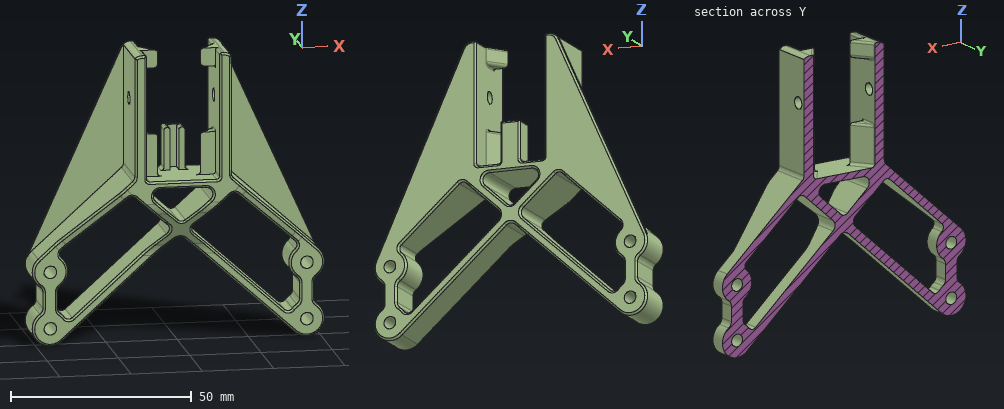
import cadquery as cq
import math

DEPTH = 20.0
HEIGHT = 83.0
EDGE_CHAMFER = 0.6
LEG_DEPTH = 12.5
WEB_THICKNESS = 1.5

BOSS_X = 36.0
BOSS_RADIUS = 5.0
LOWER_BOSS_Z = BOSS_RADIUS
UPPER_BOSS_Z = LOWER_BOSS_Z + 16.0
SCREW_DIAMETER = 3.5
NECK_WIDTH = 4.0
NECK_FILLET = 2.0

SLOT_HALF_WIDTH = 10.25
WALL_OUTER_X = 13.55
FLOOR_Z = 47.15
FLOOR_THICKNESS = 2.15
SLOT_FILLET = 0.85
TOP_INNER_FILLET = 0.65
TOP_OUTER_FILLET = 3.0
TOP_FLAT_X = 11.5
WALL_HOLE_Z = 69.0

ARM_ANGLE = 42.0
ARM_WIDTH = 2.65
BAR_WIDTH = 2.9
CELL_FILLET = 1.5
JOINT_FILLET = 2.0
WEB_CORNER_FILLET = 1.75

BAR_RAMP_FILLET = 6.0
ARM_RAMP_FILLET = 8.0
BAR_RAMP_TOP_Z = 39.2
BAR_RAMP_LENGTH = 12.9
ARM_RAMP_START_X = 16.2
ARM_RAMP_LENGTH = 22.8

HOOK_FRONT_Y = 7.0
HOOK_BACK_Y = 12.7
HOOK_TIP_X = 6.0
HOOK_TIP_FILLET = 1.0
UPPER_HOOK_BOTTOM_Z = 77.85
POST_TOP_Z = 59.2
HOOK_WALL_FILLET = 0.5

POST_HALF_WIDTH = 2.95
POST_DEPTH = 6.0
FORK_HALF_GAP = 1.25
FORK_BACK_THICKNESS = 2.0
PRONG_FILLET = 0.65

SLOPE = math.tan(math.radians(ARM_ANGLE))
SLOPE_COS = math.cos(math.radians(ARM_ANGLE))
SLOPE_SIN = math.sin(math.radians(ARM_ANGLE))
BOSS_RISE = BOSS_RADIUS / SLOPE_COS
ARM_OUTER_Z = UPPER_BOSS_Z + BOSS_RISE + SLOPE * BOSS_X
ARM_INNER_Z = ARM_OUTER_Z - ARM_WIDTH / SLOPE_COS
BAR_LOWER_Z = LOWER_BOSS_Z - BOSS_RISE + SLOPE * BOSS_X
BAR_UPPER_Z = BAR_LOWER_Z + BAR_WIDTH / SLOPE_COS
OVERSIZE = 50.0


def prism(outline, y_front, y_back):
    """Solid between two Y planes from a closed list of (x, z) points."""
    plane = cq.Workplane("XZ", origin=(0, y_back, 0))
    return plane.polyline(outline).close().extrude(y_back - y_front)


def cylinder(x, z, radius):
    return cq.Workplane("XZ", origin=(x, DEPTH, z)).circle(radius).extrude(DEPTH)


def both_sides(half):
    return half.union(half.mirror("YZ"))


def round_corner(body, x, z, radius):
    """Fillet the edge parallel to Y that passes through (x, z)."""
    tolerance = 0.05
    box = cq.selectors.BoxSelector(
        (x - tolerance, -OVERSIZE, z - tolerance), (x + tolerance, OVERSIZE, z + tolerance)
    )
    return body.edges("|Y").edges(box).fillet(radius)


def outer_tangent(first, first_radius, second, second_radius):
    """Ends of the common tangent on the +X side, from the upper circle to the lower one."""
    dx = second[0] - first[0]
    dz = second[1] - first[1]
    distance = math.hypot(dx, dz)
    normal = math.atan2(dz, dx) + math.acos((first_radius - second_radius) / distance)
    across = (math.cos(normal), math.sin(normal))
    return [
        (center[0] + radius * across[0], center[1] + radius * across[1])
        for center, radius in ((first, first_radius), (second, second_radius))
    ]


def silhouette():
    """Outer outline at full depth, without any openings."""
    corner = (TOP_FLAT_X, HEIGHT - TOP_OUTER_FILLET)
    upper_boss = (BOSS_X, UPPER_BOSS_Z)
    web_top, web_bottom = outer_tangent(corner, TOP_OUTER_FILLET, upper_boss, BOSS_RADIUS)
    bar_tangent = (BOSS_X - BOSS_RADIUS * SLOPE_SIN, LOWER_BOSS_Z - BOSS_RADIUS * SLOPE_COS)
    half = (
        cq.Workplane("XZ", origin=(0, DEPTH, 0))
        .moveTo(0, BAR_LOWER_Z)
        .lineTo(0, HEIGHT)
        .lineTo(TOP_FLAT_X, HEIGHT)
        .tangentArcPoint(web_top, relative=False)
        .lineTo(*web_bottom)
        .tangentArcPoint((BOSS_X + BOSS_RADIUS, UPPER_BOSS_Z), relative=False)
        .lineTo(BOSS_X + BOSS_RADIUS, LOWER_BOSS_Z)
        .tangentArcPoint(bar_tangent, relative=False)
        .close()
        .extrude(DEPTH)
    )
    return round_corner(both_sides(half), 0, BAR_LOWER_Z, JOINT_FILLET)


def slot_opening():
    outline = [
        (-SLOT_HALF_WIDTH, FLOOR_Z),
        (SLOT_HALF_WIDTH, FLOOR_Z),
        (SLOT_HALF_WIDTH, HEIGHT + OVERSIZE),
        (-SLOT_HALF_WIDTH, HEIGHT + OVERSIZE),
    ]
    return prism(outline, 0, DEPTH).edges("|Y and <Z").fillet(SLOT_FILLET)


def triangle_opening():
    """Opening between the slot floor and the upper halves of the crossing bars."""
    top_z = FLOOR_Z - FLOOR_THICKNESS
    top_x = (top_z - BAR_UPPER_Z) / SLOPE
    opening = prism([(-top_x, top_z), (top_x, top_z), (0, BAR_UPPER_Z)], 0, DEPTH)
    opening = opening.edges("|Y and >Z").fillet(JOINT_FILLET)
    return round_corner(opening, 0, BAR_UPPER_Z, CELL_FILLET)


def leg_opening():
    """Opening enclosed by an arm, the crossing bars and the bosses (+X side)."""
    neck_x = BOSS_X - NECK_WIDTH / 2
    apex_x = (ARM_INNER_Z - BAR_LOWER_Z) / (2 * SLOPE)
    apex_z = (ARM_INNER_Z + BAR_LOWER_Z) / 2
    crossing_x = (BAR_UPPER_Z - BAR_LOWER_Z) / (2 * SLOPE)
    crossing_z = (BAR_UPPER_Z + BAR_LOWER_Z) / 2
    opening = prism(
        [
            (apex_x, apex_z),
            (BOSS_X, ARM_INNER_Z - SLOPE * BOSS_X),
            (BOSS_X, BAR_UPPER_Z - SLOPE * BOSS_X),
            (crossing_x, crossing_z),
        ],
        0,
        DEPTH,
    )
    opening = round_corner(opening, apex_x, apex_z, CELL_FILLET)
    opening = round_corner(opening, crossing_x, crossing_z, JOINT_FILLET)
    for boss_z in (UPPER_BOSS_Z, LOWER_BOSS_Z):
        opening = opening.cut(cylinder(BOSS_X, boss_z, BOSS_RADIUS))
    neck = [(neck_x, LOWER_BOSS_Z), (BOSS_X, LOWER_BOSS_Z), (BOSS_X, UPPER_BOSS_Z), (neck_x, UPPER_BOSS_Z)]
    opening = opening.cut(prism(neck, 0, DEPTH))
    solids = opening.solids().vals()
    opening = cq.Workplane(max(solids, key=lambda solid: solid.Volume()))
    reach = math.sqrt(BOSS_RADIUS**2 - (NECK_WIDTH / 2) ** 2)
    for z in (UPPER_BOSS_Z - reach, LOWER_BOSS_Z + reach):
        opening = round_corner(opening, neck_x, z, NECK_FILLET)
    for boss_z, intercept in ((UPPER_BOSS_Z, ARM_INNER_Z), (LOWER_BOSS_Z, BAR_UPPER_Z)):
        x, z = boss_meets_diagonal(boss_z, intercept)
        opening = round_corner(opening, x, z, CELL_FILLET)
    return opening


def boss_meets_diagonal(boss_z, intercept):
    """Inboard point where the edge z = intercept - SLOPE * x enters a boss."""
    offset = (intercept - SLOPE * BOSS_X - boss_z) * SLOPE_COS
    along = math.sqrt(BOSS_RADIUS**2 - offset**2)
    x = BOSS_X + offset * SLOPE_SIN - along * SLOPE_COS
    return x, intercept - SLOPE * x


def neck_notch():
    """Recess between the two bosses on the outer flank (+X side)."""
    neck_x = BOSS_X + NECK_WIDTH / 2
    outer_x = BOSS_X + BOSS_RADIUS + OVERSIZE
    notch = prism(
        [(neck_x, LOWER_BOSS_Z), (outer_x, LOWER_BOSS_Z), (outer_x, UPPER_BOSS_Z), (neck_x, UPPER_BOSS_Z)],
        0,
        DEPTH,
    )
    for boss_z in (UPPER_BOSS_Z, LOWER_BOSS_Z):
        notch = notch.cut(cylinder(BOSS_X, boss_z, BOSS_RADIUS))
    reach = math.sqrt(BOSS_RADIUS**2 - (NECK_WIDTH / 2) ** 2)
    for z in (UPPER_BOSS_Z - reach, LOWER_BOSS_Z + reach):
        notch = round_corner(notch, neck_x, z, NECK_FILLET)
    return notch


def web_region():
    """Full-depth region between a wall and its arm (+X side)."""
    corner_z = ARM_OUTER_Z - SLOPE * WALL_OUTER_X
    far_x = BOSS_X + OVERSIZE
    region = prism(
        [
            (WALL_OUTER_X, HEIGHT),
            (WALL_OUTER_X, corner_z),
            (BOSS_X + BOSS_RADIUS * SLOPE_SIN, UPPER_BOSS_Z + BOSS_RADIUS * SLOPE_COS),
            (BOSS_X, UPPER_BOSS_Z),
            (far_x, UPPER_BOSS_Z),
            (far_x, HEIGHT),
        ],
        0,
        DEPTH,
    )
    region = region.cut(cylinder(BOSS_X, UPPER_BOSS_Z, BOSS_RADIUS))
    return round_corner(region, WALL_OUTER_X, corner_z, WEB_CORNER_FILLET)


def ramp_cutter(origin, direction, across, length, radius):
    """Tool that lowers the front face along `direction`, blending both ends of the ramp."""
    drop = DEPTH - LEG_DEPTH
    angle = math.atan2(drop, length)
    tangent = radius * math.tan(angle / 2)
    reach = 2 * OVERSIZE
    along = tangent * math.cos(angle)
    rise = tangent * math.sin(angle)
    plane = cq.Plane(origin=origin, xDir=direction, normal=across)
    return (
        cq.Workplane(plane)
        .moveTo(-tangent - 1, 0)
        .lineTo(-tangent, 0)
        .tangentArcPoint((along, rise), relative=False)
        .lineTo(length - along, drop - rise)
        .tangentArcPoint((length + tangent, drop), relative=False)
        .lineTo(reach, drop)
        .lineTo(reach, -1)
        .lineTo(-tangent - 1, -1)
        .close()
        .extrude(reach, both=True)
    )


def cut_ramps(body):
    bar_ramp = ramp_cutter(
        (0, 0, BAR_RAMP_TOP_Z), (0, 0, -1), (1, 0, 0), BAR_RAMP_LENGTH, BAR_RAMP_FILLET
    )
    start = (ARM_RAMP_START_X, 0, (ARM_INNER_Z + ARM_OUTER_Z) / 2 - SLOPE * ARM_RAMP_START_X)
    direction = (SLOPE_COS, 0, -SLOPE_SIN)
    across = (SLOPE_SIN, 0, SLOPE_COS)
    arm_ramp = ramp_cutter(start, direction, across, ARM_RAMP_LENGTH, ARM_RAMP_FILLET)
    return body.cut(bar_ramp).cut(arm_ramp).cut(arm_ramp.mirror("YZ"))


def chamfer_front(body):
    """Chamfer the rim of the front surface, ramps included, below the final height."""
    solid = body.val()
    front = [
        face
        for face in solid.Faces()
        if face.normalAt().y < -0.8 and face.BoundingBox().ymax < DEPTH - 2 * WEB_THICKNESS
    ]
    count = {}
    for face in front:
        for edge in face.Edges():
            count.setdefault(edge.hashCode(), []).append(edge)
    rim = [
        edges[0]
        for edges in count.values()
        if len(edges) == 1 and edges[0].BoundingBox().zmin < HEIGHT
    ]
    return cq.Workplane(solid.chamfer(EDGE_CHAMFER, None, rim))


def frame():
    """Walls, floor, arms, bars and bosses, with thin webs closing the sides at the back."""
    outline = silhouette()
    webs = both_sides(web_region())
    tall_z = HEIGHT + TOP_OUTER_FILLET
    tall_walls = [
        (-WALL_OUTER_X, FLOOR_Z),
        (WALL_OUTER_X, FLOOR_Z),
        (WALL_OUTER_X, tall_z),
        (-WALL_OUTER_X, tall_z),
    ]
    body = outline.union(prism(tall_walls, 0, DEPTH))
    body = body.cut(webs).cut(slot_opening()).cut(triangle_opening())
    body = body.cut(both_sides(leg_opening())).cut(both_sides(neck_notch()))
    body = chamfer_front(cut_ramps(body))
    body = body.intersect(outline.faces("<Y").edges().chamfer(EDGE_CHAMFER))
    back_layer = cq.Workplane("XZ", origin=(0, DEPTH, 0)).rect(4 * OVERSIZE, 4 * OVERSIZE)
    web = web_region().intersect(outline).intersect(back_layer.extrude(WEB_THICKNESS))
    return body.union(web).union(web.mirror("YZ"))


def round_wall_tops(body):
    for x in (-SLOT_HALF_WIDTH, SLOT_HALF_WIDTH):
        body = round_corner(body, x, HEIGHT, TOP_INNER_FILLET)
    return body


def hook(side, bottom_z, top_z, bottom_is_tip):
    """Wedge on one inner wall face; `side` is +1 or -1.

    The sloped flank runs from the wall to the tip. Its top edge is rounded; its bottom edge is
    either rounded too or flared into the slot floor.
    """
    run = HOOK_BACK_Y - HOOK_FRONT_Y
    height = SLOT_HALF_WIDTH - HOOK_TIP_X
    flank = math.hypot(run, height)
    plane = cq.Plane(
        origin=(HOOK_TIP_X, HOOK_FRONT_Y, 0),
        xDir=(-run / flank, height / flank, 0),
        normal=(height / flank, run / flank, 0),
    )
    inner = -2 * flank
    profile = cq.Workplane(plane).moveTo(inner, bottom_z)
    if bottom_is_tip:
        profile = profile.lineTo(-HOOK_TIP_FILLET, bottom_z)
        profile = profile.tangentArcPoint((0, bottom_z + HOOK_TIP_FILLET), relative=False)
    else:
        profile = profile.lineTo(SLOT_FILLET, bottom_z)
        profile = profile.radiusArc((0, bottom_z + SLOT_FILLET), SLOT_FILLET)
    profile = profile.lineTo(0, top_z - TOP_INNER_FILLET)
    profile = profile.tangentArcPoint((-TOP_INNER_FILLET, top_z), relative=False)
    wedge = profile.lineTo(inner, top_z).close().extrude(2 * flank, both=True)
    root_x = SLOT_HALF_WIDTH + TOP_INNER_FILLET
    root = prism([(0, bottom_z), (root_x, bottom_z), (root_x, top_z), (0, top_z)], HOOK_FRONT_Y, DEPTH)
    wedge = wedge.intersect(root)
    return wedge if side > 0 else wedge.mirror("YZ")


def add_hooks(body):
    for side in (-1, 1):
        body = body.union(hook(side, FLOOR_Z, POST_TOP_Z, False))
        body = body.union(hook(side, UPPER_HOOK_BOTTOM_Z, HEIGHT, True))
        for z in (UPPER_HOOK_BOTTOM_Z, POST_TOP_Z):
            body = round_corner(body, side * SLOT_HALF_WIDTH, z, HOOK_WALL_FILLET)
    return body


def post():
    """Solid post with a flared foot, standing on the slot floor at the back."""
    foot = POST_HALF_WIDTH + SLOT_FILLET
    front_y = DEPTH - POST_DEPTH
    base_z = FLOOR_Z - FLOOR_THICKNESS / 2
    body = prism([(-foot, base_z), (foot, base_z), (foot, FLOOR_Z), (-foot, FLOOR_Z)], front_y, DEPTH)
    half = POST_HALF_WIDTH
    body = body.union(
        prism([(-half, FLOOR_Z), (half, FLOOR_Z), (half, POST_TOP_Z), (-half, POST_TOP_Z)], front_y, DEPTH)
    )
    foot_fillet = SLOT_FILLET * 0.999
    for x in (-half, half):
        body = round_corner(body, x, FLOOR_Z, foot_fillet)
    return body


def chamfer_back(body):
    """Chamfer every edge of the flat back face."""
    return body.faces(">Y").edges().chamfer(EDGE_CHAMFER)


def fork(body):
    """Open the front of the post into a fork and round the tops of its prongs."""
    gap = [
        (-FORK_HALF_GAP, FLOOR_Z),
        (FORK_HALF_GAP, FLOOR_Z),
        (FORK_HALF_GAP, POST_TOP_Z),
        (-FORK_HALF_GAP, POST_TOP_Z),
    ]
    body = body.cut(prism(gap, DEPTH - POST_DEPTH, DEPTH - FORK_BACK_THICKNESS))
    for x in (-POST_HALF_WIDTH, -FORK_HALF_GAP, FORK_HALF_GAP, POST_HALF_WIDTH):
        body = round_corner(body, x, POST_TOP_Z, PRONG_FILLET)
    return body


def screw_holes():
    length = 2 * OVERSIZE
    bosses = cq.Workplane("XZ").pushPoints(
        [(x, z) for x in (-BOSS_X, BOSS_X) for z in (LOWER_BOSS_Z, UPPER_BOSS_Z)]
    )
    walls = cq.Workplane("YZ").center(DEPTH / 2, WALL_HOLE_Z)
    radius = SCREW_DIAMETER / 2
    return bosses.circle(radius).extrude(length, both=True).union(
        walls.circle(radius).extrude(length, both=True)
    )


result = chamfer_back(frame().union(post()))
result = add_hooks(round_wall_tops(fork(result)))
result = result.cut(screw_holes())